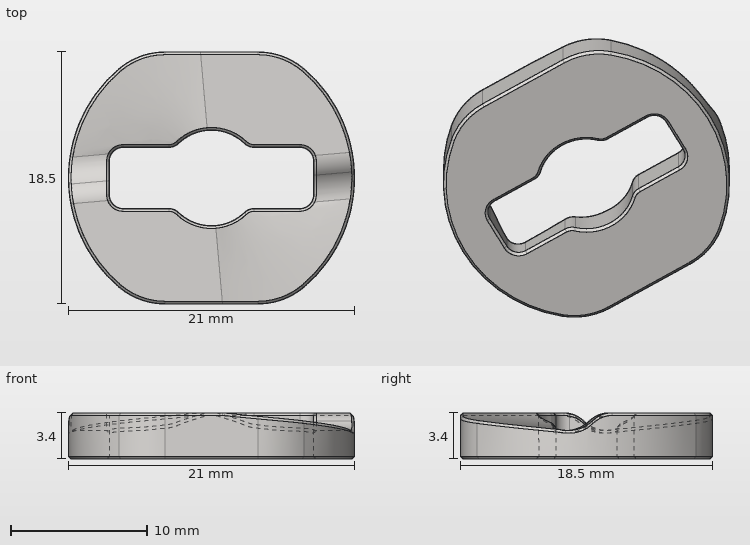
import cadquery as cq
import math

OUTER_RADIUS = 10.5
HALF_WIDTH = 9.25
HEIGHT = 3.4
SHOULDER_RADIUS = 5.2

HOLE_RADIUS = 3.5
SLOT_LENGTH = 15.0
SLOT_WIDTH = 4.5
SLOT_FILLET = 1.0

CHAMFER = 0.2
BEVEL_MARGIN = 0.05
RIM_FLOOR = HEIGHT / 4
UPRIGHT_SLOPE = 0.9

CAM_ANGLE = 5.0
RAMP_END = 2.42
CREST_START = 0.99
CREST_RADIUS = 2.05
VALLEY_RADIUS = 2.45
RISE_ANGLE = math.radians(44.6)
RISE_TURN = CREST_START - CREST_RADIUS * math.sin(RISE_ANGLE)
VALLEY_CENTER = RISE_TURN - VALLEY_RADIUS * math.sin(RISE_ANGLE)
VALLEY_DEPTH = (CREST_RADIUS + VALLEY_RADIUS) * (1 - math.cos(RISE_ANGLE))
RAMP_OFFSET = RAMP_END + VALLEY_CENTER
RAMP_DROP = VALLEY_DEPTH - VALLEY_RADIUS + math.sqrt(VALLEY_RADIUS**2 - RAMP_OFFSET**2)
RAMP_INNER_REACH = 6.5
RAMP_OUTER_RADIUS = 1.2 * OUTER_RADIUS
RAMP_POINTS = 9


def make_body(growth=0.0):
    """Plain outer body with its side wall moved outward by growth."""
    disc = cq.Workplane("XY").circle(OUTER_RADIUS + growth).extrude(HEIGHT)
    flats = cq.Workplane("XY").rect(3 * OUTER_RADIUS, 2 * (HALF_WIDTH + growth)).extrude(HEIGHT)
    return disc.intersect(flats).edges("|Z").fillet(SHOULDER_RADIUS + growth)


def make_opening(growth=0.0):
    """Solid filling the opening, with its side wall moved outward by growth."""
    slot = cq.Workplane("XY").rect(SLOT_LENGTH + 2 * growth, SLOT_WIDTH + 2 * growth).extrude(HEIGHT)
    slot = slot.edges("|Z").fillet(SLOT_FILLET + growth)
    hole = cq.Workplane("XY").circle(HOLE_RADIUS + growth).extrude(HEIGHT)
    hole_corners = cq.selectors.BoxSelector(
        (-HOLE_RADIUS, -SLOT_WIDTH, 0), (HOLE_RADIUS, SLOT_WIDTH, HEIGHT)
    )
    return slot.union(hole).edges("|Z").edges(hole_corners).fillet(SLOT_FILLET - growth)


def raise_face(face):
    """Solid swept straight up from a face."""
    return cq.Solid.extrudeLinear(face, cq.Vector(0, 0, HEIGHT))


def ramp_edge(end_angle, radius_at):
    """Curve that sinks evenly with the angle around Z, at a radius given per angle."""
    points = []
    fractions = [i / (RAMP_POINTS - 1) for i in range(RAMP_POINTS)]
    for fraction in fractions:
        angle = -math.pi / 2 + (end_angle + math.pi / 2) * fraction
        radius = radius_at(angle)
        points.append(
            cq.Vector(
                radius * math.cos(angle),
                radius * math.sin(angle),
                HEIGHT - RAMP_DROP * fraction,
            )
        )
    return cq.Edge.makeSpline(points, parameters=fractions)


def make_ramp_cutter():
    """Space above the spiral ramp; its inner edge is straight in plan, inside the opening."""
    inner = ramp_edge(
        -math.atan2(RAMP_END, RAMP_INNER_REACH),
        lambda angle: -RAMP_END / math.sin(angle),
    )
    outer = ramp_edge(
        -math.asin(RAMP_END / RAMP_OUTER_RADIUS),
        lambda angle: RAMP_OUTER_RADIUS,
    )
    return raise_face(cq.Face.makeRuledSurface(inner, outer))


def make_valley_cutter():
    """Space above the valley and the steep rise that follows it."""

    def on_crest(angle):
        return (
            CREST_START - CREST_RADIUS * math.sin(angle),
            HEIGHT - CREST_RADIUS * (1 - math.cos(angle)),
        )

    return (
        cq.Workplane("YZ")
        .moveTo(CREST_START, HEIGHT)
        .threePointArc(on_crest(RISE_ANGLE / 2), on_crest(RISE_ANGLE))
        .threePointArc((VALLEY_CENTER, HEIGHT - VALLEY_DEPTH), (-RAMP_END, HEIGHT - RAMP_DROP))
        .lineTo(-RAMP_END, 2 * HEIGHT)
        .lineTo(CREST_START, 2 * HEIGHT)
        .close()
        .extrude(RAMP_OUTER_RADIUS)
        .val()
    )


def cut_cams(block):
    """Cut both cam tracks into the top of a block."""
    for half_turn in (0, 180):
        for cutter in (make_ramp_cutter(), make_valley_cutter()):
            turned = cutter.rotate(cq.Vector(0, 0, 0), cq.Vector(0, 0, 1), CAM_ANGLE + half_turn)
            block = block.cut(cq.Workplane(turned))
    return block


def angle_around_z(edge):
    middle = edge.positionAt(0.5)
    return math.atan2(middle.y, middle.x)


def top_rim(block, lift):
    """Edges where the cam tracks meet the side wall of a block, in order around Z and lifted."""
    rim = []
    for face in cut_cams(block).faces("not |Z").vals():
        stands_on_base = face.BoundingBox().zmin < RIM_FLOOR
        if not stands_on_base:
            continue
        for edge in face.Edges():
            is_upright = abs(edge.tangentAt(0.5).z) > UPRIGHT_SLOPE
            if edge.Center().z > RIM_FLOOR and not is_upright:
                rim.append(edge.moved(cq.Location(cq.Vector(0, 0, lift))))
    return sorted(rim, key=angle_around_z)


def bevel_top_rim(half, make_block, inward):
    """Bevel one wall's top rim on a half; inward is the growth sign that leads into the material."""
    upper_step = CHAMFER + BEVEL_MARGIN
    upper_rim = top_rim(make_block(inward * upper_step), BEVEL_MARGIN)
    lower_rim = top_rim(make_block(-inward * BEVEL_MARGIN), -upper_step)
    for upper_edge, lower_edge in zip(upper_rim, lower_rim):
        is_on_half = math.cos(angle_around_z(upper_edge) - math.radians(CAM_ANGLE)) > 0
        if is_on_half:
            strip = cq.Face.makeRuledSurface(upper_edge, lower_edge)
            half = half.cut(cq.Workplane(raise_face(strip)))
    return half


def make_half_space():
    """Block covering the half of the part that holds one whole cam track."""
    half_space = cq.Workplane("XY").box(
        RAMP_OUTER_RADIUS, 2 * RAMP_OUTER_RADIUS, HEIGHT, centered=(False, True, False)
    )
    return half_space.rotate((0, 0, 0), (0, 0, 1), CAM_ANGLE)


whole = cut_cams(make_body().cut(make_opening()))
whole = whole.faces("<Z").edges().chamfer(CHAMFER)
half = whole.intersect(make_half_space())
half = bevel_top_rim(half, make_opening, 1)
half = bevel_top_rim(half, make_body, -1)
joined = half.union(half.rotate((0, 0, 0), (0, 0, 1), 180))
result = cq.Workplane(joined.solids().val())